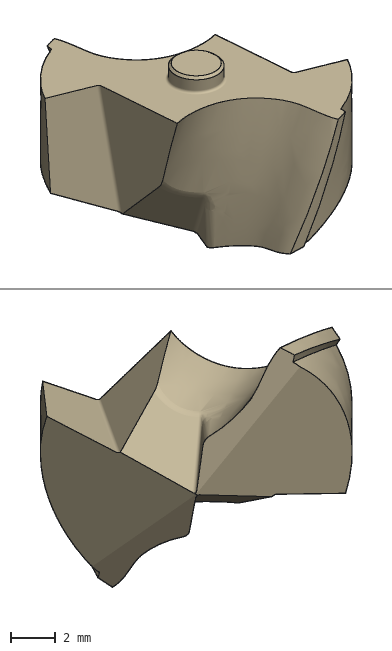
import cadquery as cq
import math

tip_depth = 7.96
tip = cq.Vector(0, 0, -tip_depth)
reach = 11.6

margin_radius = 7.25
land_radius = 6.96
lip_angle = 14.8
margin_end_angle = 20.5
land_start_angle = 22
land_end_angle = 110
twist_per_depth = 4.586
flute_points = [
    (3.19, -4.93), (2.07, -3.36), (1.93, -2.12), (2.09, -1.02),
    (2.75, 0.3), (3.62, 1.09), (4.73, 1.57), (5.8, 1.67),
]

notch_corner = (-2.75, -3.38)
notch_wall_lean = 0.37
notch_slope_x = 0.2
notch_slope_y = 0.014
notch_fillet = 0.17

lip_rise = 0.35
primary_rise = -0.08
secondary_rise = 0.39

gash_valley = cq.Vector(13.7, -9.3, 23)
gash_floor_line = cq.Vector(-10.2, -23, 12)
gash_fillet = 0.19
rake_round = 0.58
rake_edge_spot = (2.1, -1.45, -6.38)

spigot_radius = 1.25
spigot_height = 0.83
spigot_chamfer = 0.13
spigot_cove = 0.13


def polar(radius, degrees):
    angle = math.radians(degrees)
    return radius * math.cos(angle), radius * math.sin(angle)


def sheared_prism(points, direction):
    """Sweep a flat polygon along a direction that may be oblique to it."""
    wire = cq.Wire.makePolygon([cq.Vector(*p) for p in points], close=True)
    return cq.Workplane(obj=cq.Solid.extrudeLinear(wire, [], direction))


def cut_both_sides(body, tool):
    return body.cut(tool).cut(tool.rotate((0, 0, 0), (0, 0, 1), 180))


def twisted_body():
    """Flutes, margins and lands, twisted clockwise going down."""
    outline = cq.Workplane("XY", origin=tip.toTuple()).moveTo(*flute_points[0])
    for turn, sign in ((0, 1), (180, -1)):
        def at(radius, degrees):
            return polar(radius, degrees + turn)

        curve = flute_points[1:] + [polar(margin_radius, lip_angle)]
        mid_margin = (lip_angle + margin_end_angle) / 2
        mid_land = (land_start_angle + land_end_angle) / 2
        outline = (
            outline.spline([(sign * x, sign * y) for x, y in curve], includeCurrent=True)
            .threePointArc(at(margin_radius, mid_margin), at(margin_radius, margin_end_angle))
            .lineTo(*at(land_radius, land_start_angle))
            .threePointArc(at(land_radius, mid_land), at(land_radius, land_end_angle))
        )
        if turn == 0:
            outline = outline.lineTo(-flute_points[0][0], -flute_points[0][1])
    twist = twist_per_depth * tip_depth
    return outline.close().twistExtrude(tip_depth, twist).rotate((0, 0, 0), (0, 0, 1), -twist)


def notch():
    corner_x, corner_y = notch_corner
    wall_end = (corner_x - notch_wall_lean * reach, corner_y - reach, 0)
    far_side = [(reach, corner_y - reach, 0), (reach, corner_y, 0)]
    lean = cq.Vector(notch_slope_x, notch_slope_y, -1) * reach
    tool = sheared_prism([(corner_x, corner_y, 0), wall_end] + far_side, lean)
    corner_middle = cq.Vector(corner_x, corner_y, 0) + lean * 0.5
    inner_edge = cq.selectors.NearestToPointSelector(corner_middle.toTuple())
    return tool.edges(inner_edge).fillet(notch_fillet)


def point_relief(y_sign, y_rise):
    """Space below one point face on the +X side of the tip."""
    profile = [
        (0, 0, -tip_depth),
        (reach, 0, -tip_depth + lip_rise * reach),
        (reach, 0, -2 * tip_depth),
        (0, 0, -2 * tip_depth),
    ]
    return sheared_prism(profile, cq.Vector(0, y_sign, y_rise) * reach)


def gash():
    """Wedge between an upright rake face and a sloping floor, with a round root."""
    along = gash_valley.normalized()
    away_from_rake = cq.Vector(gash_valley.y, -gash_valley.x, 0).normalized()
    down_rake = along.cross(away_from_rake)
    floor_normal = gash_valley.cross(gash_floor_line)
    across_floor = floor_normal.cross(along).normalized()
    start = tip - along * reach
    corners = [
        start,
        start + down_rake * reach,
        start + (down_rake + across_floor) * reach,
        start + across_floor * reach,
    ]
    tool = sheared_prism([c.toTuple() for c in corners], along * (2 * reach))
    root = cq.selectors.NearestToPointSelector(tip.toTuple())
    return tool.edges(root).fillet(gash_fillet)


def spigot():
    embed = 0.15
    base_radius = spigot_radius + spigot_cove
    cove_middle = spigot_cove * (1 - math.sqrt(0.5))
    return (
        cq.Workplane("XZ")
        .moveTo(0, -embed)
        .lineTo(base_radius, -embed)
        .lineTo(base_radius, 0)
        .threePointArc((spigot_radius + cove_middle, cove_middle), (spigot_radius, spigot_cove))
        .lineTo(spigot_radius, spigot_height - spigot_chamfer)
        .lineTo(spigot_radius - spigot_chamfer, spigot_height)
        .lineTo(0, spigot_height)
        .close()
        .revolve(360, (0, 0, 0), (0, 1, 0))
    )


result = twisted_body()
result = cut_both_sides(result, notch())
result = cut_both_sides(result, point_relief(1, secondary_rise))
result = cut_both_sides(result, point_relief(-1, primary_rise))
result = cut_both_sides(result, gash())
for side in (1, -1):
    x, y, z = rake_edge_spot
    rake_edge = cq.selectors.NearestToPointSelector((side * x, side * y, z))
    result = result.edges(rake_edge).fillet(rake_round)
result = result.union(spigot())